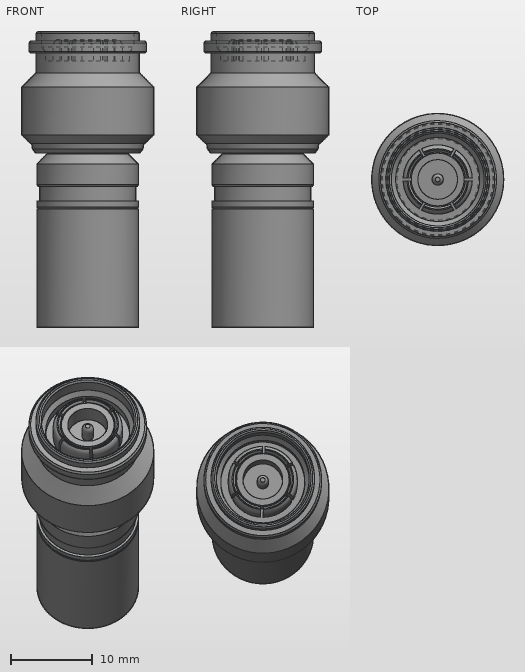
import cadquery as cq
import math


ferrule_radius = 6.25
ferrule_length = 14.55

ring_radius = ferrule_radius
ring_chamfer = 0.2
ring_top = 15.5
groove_radius = 5.9
collar_bottom = 17.3
collar_chamfer_width = 0.15
collar_chamfer_height = 0.2
collar_shoulder = 20.0
neck_radius = 5.0
neck_bottom = collar_shoulder + ring_radius - neck_radius

nut_bottom = 21.35
nut_bottom_radius = 6.38
lip_radius = 6.78
lip_edge = 21.85
lip_top = 22.5
lip_top_radius = 6.9
grip_diameter = 16.2
grip_radius = grip_diameter / 2
grip_bottom_radius = 7.0
grip_bottom = 23.6
grip_top = 29.45
sleeve_radius = 6.35
grip_cone_top = grip_top + grip_radius - sleeve_radius
flange_radius = 7.2
flange_bottom = 33.6
flange_top = 35.1
flange_chamfer = 0.2
total_length = 36.25
rim_chamfer = 0.2

bore_radius = 5.7
bore_rim_chamfer = 0.2
bore_cone_top = 34.33
bore_floor_radius = 5.15
bore_cone_bottom = bore_cone_top - (bore_radius - bore_floor_radius)
socket_floor = 32.65

finger_inner_radius = 3.37
finger_outer_radius = 4.25
finger_crest_inner = 3.62
finger_crest_outer = 3.77
finger_top = 35.27
finger_lip_round = 0.95
finger_count = 6
finger_slot_width = 0.33

insulator_radius = 3.23
insulator_hole_radius = 2.43
insulator_top = 35.13
pin_radius = 0.7
pin_tip_radius = 0.3
pin_shoulder = 34.2
pin_top = 34.85
pin_nose_round = 0.72


def revolve_about_z(profile):
    """Turn a closed outline of (radius, z) around the Z axis."""
    return profile.close().revolve(360, (0, 0), (0, 1))


def make_shell():
    """Outside of the connector body, solid inside."""
    return revolve_about_z(cq.Workplane("XZ").polyline([
        (0, ferrule_length),
        (ring_radius - ring_chamfer, ferrule_length),
        (ring_radius, ferrule_length + ring_chamfer),
        (ring_radius, ring_top),
        (groove_radius, ring_top),
        (groove_radius, collar_bottom),
        (ring_radius - collar_chamfer_width, collar_bottom),
        (ring_radius, collar_bottom + collar_chamfer_height),
        (ring_radius, collar_shoulder),
        (neck_radius, neck_bottom),
        (neck_radius, nut_bottom),
        (nut_bottom_radius, nut_bottom),
        (lip_radius, lip_edge),
        (lip_top_radius, lip_top),
        (grip_bottom_radius, lip_top),
        (grip_radius, grip_bottom),
        (grip_radius, grip_top),
        (sleeve_radius, grip_cone_top),
        (sleeve_radius, flange_bottom),
        (flange_radius - flange_chamfer, flange_bottom),
        (flange_radius, flange_bottom + flange_chamfer),
        (flange_radius, flange_top - flange_chamfer),
        (flange_radius - flange_chamfer, flange_top),
        (sleeve_radius, flange_top),
        (sleeve_radius, total_length - rim_chamfer),
        (sleeve_radius - rim_chamfer, total_length),
        (0, total_length),
    ]))


def make_socket():
    """Stepped bore that opens at the top of the connector body."""
    return revolve_about_z(cq.Workplane("XZ").polyline([
        (0, socket_floor),
        (bore_floor_radius, socket_floor),
        (bore_floor_radius, bore_cone_bottom),
        (bore_radius, bore_cone_top),
        (bore_radius, total_length - bore_rim_chamfer),
        (bore_radius + bore_rim_chamfer, total_length),
        (0, total_length),
    ]))


def make_fingers():
    """Ring of contact fingers with a rounded outer lip, parted by radial slots."""
    lip_reach = finger_crest_outer - (finger_outer_radius - finger_lip_round)
    lip_round_bottom = finger_top - math.sqrt(finger_lip_round**2 - lip_reach**2)
    inner_cone_bottom = finger_top - (finger_crest_inner - finger_inner_radius)
    fingers = revolve_about_z(
        cq.Workplane("XZ")
        .moveTo(finger_inner_radius, socket_floor)
        .lineTo(finger_outer_radius, socket_floor)
        .lineTo(finger_outer_radius, lip_round_bottom)
        .radiusArc((finger_crest_outer, finger_top), -finger_lip_round)
        .lineTo(finger_crest_inner, finger_top)
        .lineTo(finger_inner_radius, inner_cone_bottom)
    )
    slot_length = 2 * bore_floor_radius
    for index in range(finger_count // 2):
        slot = (
            cq.Workplane("XY", origin=(0, 0, socket_floor))
            .rect(slot_length, finger_slot_width)
            .extrude(finger_top - socket_floor)
            .rotate((0, 0, 0), (0, 0, 1), index * 360 / finger_count)
        )
        fingers = fingers.cut(slot)
    return fingers


def make_insulator():
    """Sleeve around the centre pin."""
    return (
        cq.Workplane("XY", origin=(0, 0, socket_floor))
        .circle(insulator_radius)
        .circle(insulator_hole_radius)
        .extrude(insulator_top - socket_floor)
    )


def make_pin():
    """Centre pin with a rounded nose and a flat tip."""
    return revolve_about_z(
        cq.Workplane("XZ")
        .moveTo(0, socket_floor)
        .lineTo(pin_radius, socket_floor)
        .lineTo(pin_radius, pin_shoulder)
        .radiusArc((pin_tip_radius, pin_top), -pin_nose_round)
        .lineTo(0, pin_top)
    )


def make_connector_body():
    """Connector body, one solid with its fingers, insulator and pin."""
    body = make_shell().cut(make_socket())
    for feature in (make_fingers(), make_insulator(), make_pin()):
        body = body.union(feature)
    return body


def make_ferrule():
    """Plain cylinder whose top face carries the connector body."""
    return cq.Workplane("XY").circle(ferrule_radius).extrude(ferrule_length)


connector_body = make_connector_body()
ferrule = make_ferrule()

result = cq.Compound.makeCompound([connector_body.val(), ferrule.val()])